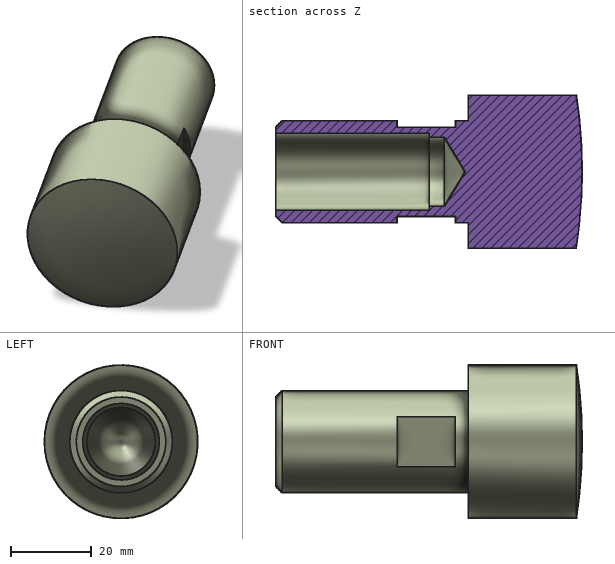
import cadquery as cq
import math

total_length = 76.0
shank_length = 47.75
shank_radius = 12.7
shank_chamfer = 1.6
head_diameter = 38.1
head_radius = head_diameter / 2
dome_height = 1.45

flat_start = 30.1
flat_length = 14.45
flat_offset = 11.1

bore_radius = 9.5
bore_depth = 38.0
pilot_radius = 8.5
pilot_depth = 41.8
drill_point_angle = 118.0


def make_body():
    """Shank, head and domed head face, revolved as one profile."""
    dome_start = total_length - dome_height
    dome_radius = (head_radius**2 + dome_height**2) / (2 * dome_height)
    dome_center = total_length - dome_radius
    mid_angle = math.asin(head_radius / dome_radius) / 2
    dome_mid = (
        dome_center + dome_radius * math.cos(mid_angle),
        dome_radius * math.sin(mid_angle),
    )
    profile = (
        cq.Workplane("XY")
        .moveTo(0, 0)
        .lineTo(0, shank_radius - shank_chamfer)
        .lineTo(shank_chamfer, shank_radius)
        .lineTo(shank_length, shank_radius)
        .lineTo(shank_length, head_radius)
        .lineTo(dome_start, head_radius)
        .threePointArc(dome_mid, (total_length, 0))
        .close()
    )
    return profile.revolve(360, (0, 0, 0), (1, 0, 0))


def make_bore():
    """Solid filling the stepped bore and its conical bottom."""
    point_length = pilot_radius / math.tan(math.radians(drill_point_angle / 2))
    profile = (
        cq.Workplane("XY")
        .moveTo(0, 0)
        .lineTo(0, bore_radius)
        .lineTo(bore_depth, bore_radius)
        .lineTo(bore_depth, pilot_radius)
        .lineTo(pilot_depth, pilot_radius)
        .lineTo(pilot_depth + point_length, 0)
        .close()
    )
    return profile.revolve(360, (0, 0, 0), (1, 0, 0))


def make_flat_cutter(side):
    """Block removing the shank beyond the flat; side is -1 or +1 along Y."""
    cut_depth = shank_radius
    return cq.Workplane("XY").box(flat_length, cut_depth, 2 * shank_radius).translate(
        (flat_start + flat_length / 2, side * (flat_offset + cut_depth / 2), 0)
    )


result = make_body().cut(make_bore())
for side in (-1, 1):
    result = result.cut(make_flat_cutter(side))